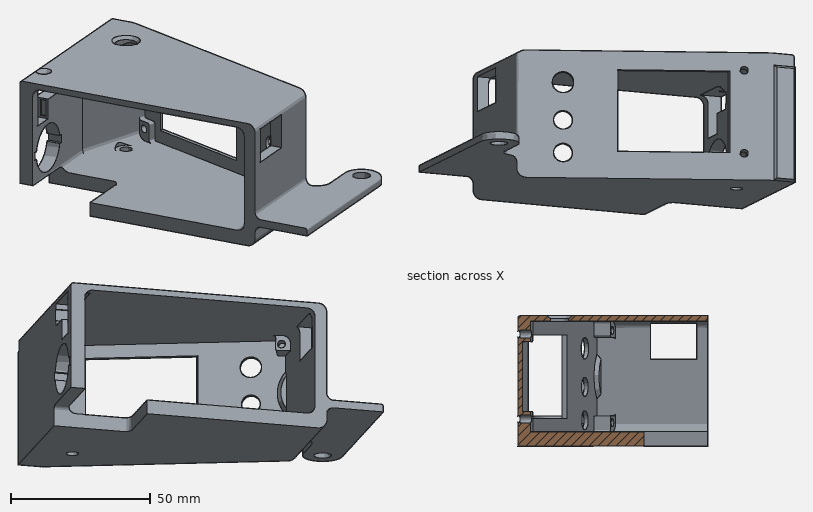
import cadquery as cq
import math

LENGTH = 116.5
DEPTH = 72.2
HEIGHT = 47.0

HOUSING_RIGHT = 95.4
LEFT_WALL = 5.2
RIGHT_WALL = 4.4
FLOOR = 5.2
CEILING = 2.2
OUTER_CORNER_RADIUS = 3.3
CAVITY_RADIUS = 3.0
EDGE_RADIUS = 1.0

TAB_BOTTOM = 8.0
TAB_THICKNESS = 2.9
TAB_RADIUS = 7.2
TAB_CENTER_Y = 56.0
TAB_HOLE_RADIUS = 3.1
TAB_ROOT_FILLET = 2.5
TAB_INNER_CORNER_RADIUS = 5.0

REAR_RIB_HEIGHT = 0.9
REAR_FLAT_END = 9.3
REAR_BEND_RADIUS = 9.3
PANEL_ANGLE = math.radians(20.0)
PANEL_THICKNESS = 1.6

cavity_left = LEFT_WALL
cavity_right = HOUSING_RIGHT - RIGHT_WALL
cavity_top = HEIGHT - CEILING
cavity_height = cavity_top - FLOOR
rear_y = DEPTH - REAR_RIB_HEIGHT
tab_top = TAB_BOTTOM + TAB_THICKNESS
tab_left = LENGTH - 2 * TAB_RADIUS
tab_center_x = LENGTH - TAB_RADIUS

panel_sin = math.sin(PANEL_ANGLE)
panel_cos = math.cos(PANEL_ANGLE)
panel_tan = math.tan(PANEL_ANGLE)
panel_normal = cq.Vector(panel_sin, panel_cos, 0)


def panel_y(x, depth=0.0):
    """Y of the plane that lies `depth` below the outer face of the slanted panel."""
    return rear_y - (x - REAR_FLAT_END) * panel_tan - depth / panel_cos


def panel_u(x, depth):
    """Distance along the panel of the point at `x` that lies `depth` below its outer face."""
    return (x + depth * panel_sin) / panel_cos


def box(x0, x1, y0, y1, z0, z1):
    return cq.Workplane("XY").box(x1 - x0, y1 - y0, z1 - z0, centered=False).translate((x0, y0, z0))


def panel_workplane(depth):
    """Plane parallel to the panel: local x runs along it, local y is Z, normal points inward."""
    origin = cq.Vector(0, panel_y(0), 0) - panel_normal * depth
    return cq.Workplane(cq.Plane(origin, xDir=(panel_cos, -panel_sin, 0), normal=-panel_normal))


REAR_EDGE_X = (REAR_FLAT_END + HOUSING_RIGHT) / 2


def make_body():
    profile = (
        cq.Workplane("XZ")
        .polyline([
            (0, 0), (HOUSING_RIGHT, 0), (HOUSING_RIGHT, TAB_BOTTOM), (LENGTH, TAB_BOTTOM),
            (LENGTH, tab_top), (HOUSING_RIGHT, tab_top), (HOUSING_RIGHT, HEIGHT), (0, HEIGHT),
        ])
        .close()
        .extrude(-DEPTH)
    )
    for z, radius in (
        (0, OUTER_CORNER_RADIUS), (HEIGHT, OUTER_CORNER_RADIUS),
        (TAB_BOTTOM, TAB_ROOT_FILLET), (tab_top, TAB_ROOT_FILLET),
    ):
        corner = cq.selectors.NearestToPointSelector((HOUSING_RIGHT, DEPTH / 2, z))
        profile = profile.edges("|Y").edges(corner).fillet(radius)

    outline = (
        cq.Workplane("XY")
        .moveTo(0, 0)
        .lineTo(LENGTH, 0)
        .lineTo(LENGTH, TAB_CENTER_Y)
        .threePointArc((tab_center_x, TAB_CENTER_Y + TAB_RADIUS), (tab_left, TAB_CENTER_Y))
        .lineTo(tab_left, panel_y(tab_left))
        .lineTo(REAR_FLAT_END, rear_y)
        .lineTo(0, rear_y)
        .close()
        .extrude(HEIGHT)
    )
    for x, y, radius in (
        (tab_left, panel_y(tab_left), TAB_INNER_CORNER_RADIUS),
        (REAR_FLAT_END, rear_y, REAR_BEND_RADIUS),
    ):
        corner = cq.selectors.NearestToPointSelector((x, y, HEIGHT / 2))
        outline = outline.edges("|Z").edges(corner).fillet(radius)
    return profile.intersect(outline)


def round_body_edges(body):
    """Round the top left edge and the upper edge around the rear and the tab."""
    left_edge = cq.selectors.NearestToPointSelector((0, rear_y / 2, HEIGHT))
    body = body.edges(left_edge).fillet(EDGE_RADIUS)
    rear_top = cq.selectors.NearestToPointSelector((REAR_EDGE_X, panel_y(REAR_EDGE_X), HEIGHT))
    return body.edges(rear_top).fillet(EDGE_RADIUS)


RIB_WIDTH = 8.4
RIB_TOP = 42.4
RIB_BEVEL = 0.8
RIB_EMBED = 1.2


def make_rear_rib():
    rib = box(0, RIB_WIDTH, rear_y - RIB_EMBED, DEPTH, 0, RIB_TOP)
    return rib.faces(">Y").edges().chamfer(RIB_BEVEL)


POCKET_LEFT = 15.6
LEFT_BOSS_HEIGHT = 2.8
RIGHT_BOSS_HEIGHT = 6.3
BOSS_FILLET = 0.8
BOSS_HOLE_RADIUS = 1.4
BLIND_HOLE_DEPTH = 3.5
LEFT_BOSS_SIDE_X = 19.6
LEFT_BOSS_HOLE_X = 17.0
RIGHT_BOSS_SIDE_X = 85.9
RIGHT_BOSS_HOLE_X = 87.9
pocket_left_u = panel_u(POCKET_LEFT, PANEL_THICKNESS)
right_wall_u = panel_u(HOUSING_RIGHT - RIGHT_WALL / 2, PANEL_THICKNESS)
left_boss = (
    LEFT_BOSS_HEIGHT, PANEL_THICKNESS + LEFT_BOSS_HEIGHT, pocket_left_u, LEFT_BOSS_SIDE_X, LEFT_BOSS_HOLE_X,
)
right_boss = (RIGHT_BOSS_HEIGHT, BLIND_HOLE_DEPTH, right_wall_u, RIGHT_BOSS_SIDE_X, RIGHT_BOSS_HOLE_X)
BOSSES = (
    (*left_boss, cavity_top, 37.5, 40.3),
    (*left_boss, FLOOR, 12.6, 9.8),
    (*right_boss, cavity_top, 39.1, 41.6),
    (*right_boss, FLOOR, 11.0, 8.5),
)

PAD_LEFT = 88.2
PAD_RADIUS = 12.1
PAD_HEIGHT = 1.4
PAD_TAPER = 45.0


def make_cavity():
    pocket_y = panel_y(POCKET_LEFT, PANEL_THICKNESS)
    pocket_start_y = pocket_y - (POCKET_LEFT - cavity_left) / panel_tan
    right_y = panel_y(cavity_right, PANEL_THICKNESS)
    cavity = (
        cq.Workplane("XY", origin=(0, 0, FLOOR))
        .polyline([
            (cavity_left, 0), (cavity_right, 0), (cavity_right, right_y),
            (POCKET_LEFT, pocket_y), (cavity_left, pocket_start_y),
        ])
        .close()
        .extrude(cavity_height)
    )
    wall_points = (
        (cavity_left, pocket_start_y / 2),
        ((cavity_left + POCKET_LEFT) / 2, (pocket_start_y + pocket_y) / 2),
        (cavity_right, right_y / 2),
    )
    selector = None
    for x, y in wall_points:
        for z in (FLOOR, cavity_top):
            nearest = cq.selectors.NearestToPointSelector((x, y, z))
            selector = nearest if selector is None else selector + nearest
    return cavity.edges(selector).fillet(CAVITY_RADIUS)


def make_boss(height, wall_u, side_u, base_z, side_z):
    """Corner boss: its free corner is rounded and its sides flare into the wall and the base."""
    radius_u = math.copysign(BOSS_FILLET, side_u - wall_u)
    radius_z = math.copysign(BOSS_FILLET, side_z - base_z)
    near = 1 - math.sqrt(0.5)
    return (
        panel_workplane(PANEL_THICKNESS)
        .moveTo(wall_u, base_z)
        .lineTo(side_u + radius_u, base_z)
        .threePointArc((side_u + near * radius_u, base_z + near * radius_z), (side_u, base_z + radius_z))
        .lineTo(side_u, side_z - radius_z)
        .threePointArc((side_u - near * radius_u, side_z - near * radius_z), (side_u - radius_u, side_z))
        .lineTo(wall_u + radius_u, side_z)
        .threePointArc((wall_u + near * radius_u, side_z + near * radius_z), (wall_u, side_z + radius_z))
        .close()
        .extrude(height)
    )


def add_bosses(cavity):
    """Leave the screw bosses standing in the rear corners of the cavity."""
    for height, _, wall_u, side_x, _, base_z, side_z, _ in BOSSES:
        side_u = panel_u(side_x, PANEL_THICKNESS + height)
        cavity = cavity.cut(make_boss(height, wall_u, side_u, base_z, side_z))
    return cavity


def add_pad(cavity):
    pad = (
        panel_workplane(PANEL_THICKNESS)
        .center(panel_u(PAD_LEFT, PANEL_THICKNESS) + PAD_RADIUS, FLOOR + cavity_height / 2)
        .circle(PAD_RADIUS)
        .extrude(PAD_HEIGHT, taper=PAD_TAPER)
    )
    return cavity.cut(pad)


def make_boss_holes():
    holes = cq.Workplane("XY")
    for height, depth, _, _, x, _, _, z in BOSSES:
        top_depth = PANEL_THICKNESS + height
        hole = (
            panel_workplane(top_depth - depth)
            .center(panel_u(x, top_depth), z)
            .circle(BOSS_HOLE_RADIUS)
            .extrude(depth)
        )
        holes = holes.add(hole)
    return holes.combine()


WINDOW = (23.3, 61.3, 10.0, 40.0)
BUTTON_X = 79.2
BUTTONS = ((35.2, 3.8), (21.3, 3.4), (9.3, 3.4))
panel_cut_depth = 2 * PANEL_THICKNESS


def make_panel_cuts():
    x0, x1, z0, z1 = WINDOW
    cuts = box(x0, x1, panel_y(x1, panel_cut_depth), DEPTH, z0, z1)
    for z, radius in BUTTONS:
        hole = (
            panel_workplane(0)
            .center(panel_u(BUTTON_X, PANEL_THICKNESS), z)
            .circle(radius)
            .extrude(panel_cut_depth)
        )
        cuts = cuts.union(hole)
    return cuts


SLOT_FRONT = 4.0
SLOT_STEP_Y = 12.0
SLOT_REAR = 19.8
SLOT_BOTTOM = 29.2
SLOT_STEP_Z = 36.8
SLOT_TOP = 45.0
RELIEF_DEPTH = 0.7
RELIEF_BOTTOM = 38.7
RELIEF_TOP = 43.0
GROOVE = (2.2, 4.3, 30.0, 36.1)
RIGHT_OPENING_BOTTOM = 31.3
RIGHT_OPENING_TOP = 44.1
JACK_Z = 18.2
JACK_RADIUS = 9.1
KEY_HALF_SPAN = 10.1
KEY_HEIGHT = 3.0


def make_side_cuts():
    slot_inner_x = LEFT_WALL + CAVITY_RADIUS
    relief_y = SLOT_REAR + RELIEF_DEPTH
    slot = box(0, slot_inner_x, SLOT_FRONT, SLOT_STEP_Y, SLOT_BOTTOM, SLOT_TOP)
    slot = slot.union(box(0, slot_inner_x, SLOT_FRONT, SLOT_REAR, SLOT_STEP_Z, SLOT_TOP))
    slot = slot.union(box(0, slot_inner_x, SLOT_FRONT, relief_y, RELIEF_BOTTOM, RELIEF_TOP))
    x0, x1, z0, z1 = GROOVE
    slot = slot.union(box(x0, x1, SLOT_FRONT, SLOT_STEP_Y + RELIEF_DEPTH, z0, z1))
    right_opening = box(
        cavity_right - CAVITY_RADIUS, HOUSING_RIGHT,
        SLOT_FRONT, relief_y,
        RIGHT_OPENING_BOTTOM, RIGHT_OPENING_TOP,
    )
    jack = (
        cq.Workplane("YZ")
        .center(SLOT_STEP_Y, JACK_Z)
        .circle(JACK_RADIUS)
        .extrude(LEFT_WALL)
    )
    keys = box(
        0, LEFT_WALL,
        SLOT_STEP_Y - KEY_HALF_SPAN, SLOT_STEP_Y + KEY_HALF_SPAN,
        JACK_Z - KEY_HEIGHT / 2, JACK_Z + KEY_HEIGHT / 2,
    )
    return slot.union(right_opening).union(jack).union(keys)


NOTCH_LENGTH = 28.4
NOTCH_DEPTH = 22.8
NOTCH_HEIGHT = 7.6
NOTCH_SIDE_RADIUS = 2.8
NOTCH_TOP_RADIUS = 2.0


def make_notch():
    notch = box(0, NOTCH_LENGTH, 0, NOTCH_DEPTH, 0, NOTCH_HEIGHT)
    notch = notch.edges("|Z and >X and >Y").fillet(NOTCH_SIDE_RADIUS)
    return notch.faces(">Z").edges(">Y").fillet(NOTCH_TOP_RADIUS)


ACCESS_X = 15.3
ACCESS_Y = 53.2
ACCESS_RADIUS = 4.0
ACCESS_CHAMFER = 1.2
FLOOR_HOLE_RADIUS = 2.2
SCREW_X = 3.3
SCREW_Y = 12.3
SCREW_RADIUS = 1.2
SCREW_HEAD_RADIUS = 2.8


def chamfered_hole(x, y, radius, chamfer):
    """Hole through the ceiling with a 45 degree countersink at the top."""
    hole = cq.Workplane("XY").circle(radius).extrude(CEILING).translate((x, y, cavity_top))
    cone = cq.Solid.makeCone(
        radius, radius + chamfer, chamfer, pnt=cq.Vector(x, y, HEIGHT - chamfer), dir=cq.Vector(0, 0, 1)
    )
    return hole.union(cq.Workplane(cone))


def make_vertical_holes():
    access = chamfered_hole(ACCESS_X, ACCESS_Y, ACCESS_RADIUS, ACCESS_CHAMFER)
    bore = cq.Workplane("XY", origin=(ACCESS_X, ACCESS_Y, FLOOR)).circle(ACCESS_RADIUS)
    floor_hole = cq.Workplane("XY").center(ACCESS_X, ACCESS_Y).circle(FLOOR_HOLE_RADIUS)
    screw = chamfered_hole(SCREW_X, SCREW_Y, SCREW_RADIUS, SCREW_HEAD_RADIUS - SCREW_RADIUS)
    tab_hole = cq.Workplane("XY").center(tab_center_x, TAB_CENTER_Y).circle(TAB_HOLE_RADIUS)
    return (
        access.union(bore.extrude(cavity_height))
        .union(floor_hole.extrude(FLOOR))
        .union(screw)
        .union(tab_hole.extrude(HEIGHT))
    )


result = round_body_edges(make_body())
result = result.union(make_rear_rib())
result = result.cut(add_pad(add_bosses(make_cavity())))
result = result.cut(make_boss_holes())
result = result.cut(make_panel_cuts())
result = result.cut(make_side_cuts())
result = result.cut(make_notch())
result = result.cut(make_vertical_holes())